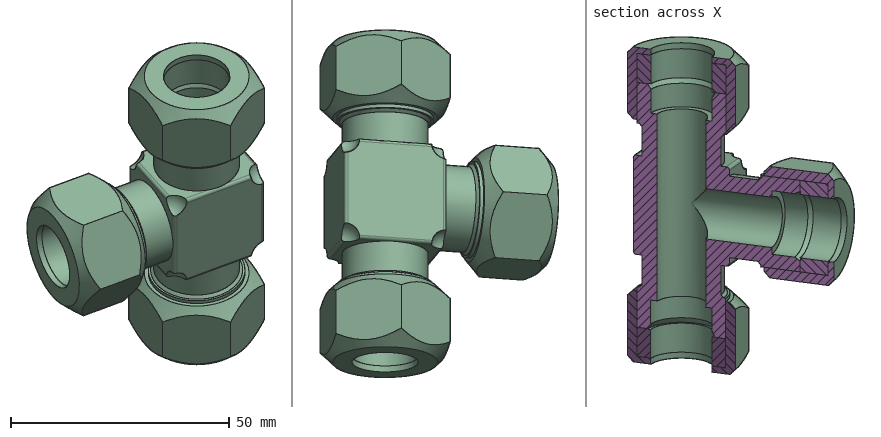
import cadquery as cq
import math

ARM_REACH = 38.0
ARM_TURNS = (0, 180, 90)

NUT_ACROSS_FLATS = 27.0
NUT_ACROSS_CORNERS = NUT_ACROSS_FLATS / math.cos(math.pi / 6)
NUT_LENGTH = 17.5
NUT_FACE_RADIUS = 12.0
NUT_CORNER_CHAMFER = NUT_ACROSS_CORNERS / 2 - NUT_FACE_RADIUS
NUT_WEB = 1.45
NUT_INNER_END = ARM_REACH - NUT_LENGTH
NUT_WEB_INNER_FACE = ARM_REACH - NUT_WEB

BLOCK_WIDTH = 20.75
BLOCK_SIDE = 24.0
BLOCK_EDGE_RADIUS = 0.75
CORNER_SCOOP_RADIUS = 3.5
SCOOP_SEAM_TURN = 45

NECK_RADIUS = 9.9
THREAD_RADIUS = 11.1
THREAD_EXPOSED = 0.8
RUNOUT_RADIUS = 10.6
THREAD_START = NUT_INNER_END - THREAD_EXPOSED
RUNOUT_START = THREAD_START - (RUNOUT_RADIUS - NECK_RADIUS)
RING_LENGTH = 7.0
ARM_END = NUT_WEB_INNER_FACE - RING_LENGTH

FLOW_RADIUS = 6.0
TUBE_RADIUS = 7.6
SOCKET_DEPTH = 7.0
SOCKET_FLOOR = ARM_END - SOCKET_DEPTH
MOUTH_RADIUS = 8.35
MOUTH_SLOPE_ANGLE = math.radians(30)
MOUTH_DEPTH = (MOUTH_RADIUS - TUBE_RADIUS) / math.tan(MOUTH_SLOPE_ANGLE)


def revolve_about_z(profile):
    """Turn a closed (radius, z) outline into a solid of revolution about Z, its seam towards -Y."""
    solid = cq.Workplane("XZ").polyline(profile).close().revolve(360, (0, 0), (0, 1))
    return solid.rotate((0, 0, 0), (0, 0, 1), -90)


def place_on_arm(shape, turn):
    """Swing a shape built along +Z onto one of the arms."""
    return shape.rotate((0, 0, 0), (1, 0, 0), turn)


def make_block():
    """Rounded block with a spherical scoop at each of its eight corners."""
    block = cq.Workplane("XY").box(BLOCK_WIDTH, BLOCK_SIDE, BLOCK_SIDE)
    scoop = cq.Workplane("XY").sphere(CORNER_SCOOP_RADIUS).rotate((0, 0, 0), (0, 0, 1), SCOOP_SEAM_TURN)
    corners = block.vertices().vals()
    block = block.edges().fillet(BLOCK_EDGE_RADIUS)
    for corner in corners:
        block = block.cut(scoop.translate(corner.toTuple()))
    return block


def make_arm():
    """Solid arm from the block centre: neck, run-out step and cone, threaded end."""
    return revolve_about_z([
        (0, 0),
        (NECK_RADIUS, 0),
        (NECK_RADIUS, RUNOUT_START),
        (RUNOUT_RADIUS, THREAD_START),
        (THREAD_RADIUS, THREAD_START),
        (THREAD_RADIUS, ARM_END),
        (0, ARM_END),
    ])


def make_passage():
    """Cutter for one arm's flow bore, tube socket and conical mouth."""
    return revolve_about_z([
        (0, 0),
        (FLOW_RADIUS, 0),
        (FLOW_RADIUS, SOCKET_FLOOR),
        (TUBE_RADIUS, SOCKET_FLOOR),
        (TUBE_RADIUS, ARM_END - MOUTH_DEPTH),
        (MOUTH_RADIUS, ARM_END),
        (0, ARM_END),
    ])


def make_tee():
    """Block with three arms, drilled through from every arm end."""
    tee = make_block()
    for turn in ARM_TURNS:
        tee = tee.union(place_on_arm(make_arm(), turn))
    for turn in ARM_TURNS:
        tee = tee.cut(place_on_arm(make_passage(), turn))
    return tee


def make_ring():
    """Clamping ring filling the nut's bore between its web and the end of the arm."""
    return revolve_about_z([
        (TUBE_RADIUS, ARM_END),
        (THREAD_RADIUS, ARM_END),
        (THREAD_RADIUS, NUT_WEB_INNER_FACE),
        (TUBE_RADIUS, NUT_WEB_INNER_FACE),
    ])


def make_nut():
    """Hexagonal union nut, corners on X, chamfered at both ends and bored for arm and ring."""
    corner_radius = NUT_ACROSS_CORNERS / 2
    hexagon = (
        cq.Workplane("XY", origin=(0, 0, NUT_INNER_END))
        .polygon(6, NUT_ACROSS_CORNERS)
        .extrude(NUT_LENGTH)
    )
    turned_envelope = revolve_about_z([
        (0, NUT_INNER_END),
        (NUT_FACE_RADIUS, NUT_INNER_END),
        (corner_radius, NUT_INNER_END + NUT_CORNER_CHAMFER),
        (corner_radius, ARM_REACH - NUT_CORNER_CHAMFER),
        (NUT_FACE_RADIUS, ARM_REACH),
        (0, ARM_REACH),
    ])
    stepped_bore = revolve_about_z([
        (0, NUT_INNER_END),
        (THREAD_RADIUS, NUT_INNER_END),
        (THREAD_RADIUS, NUT_WEB_INNER_FACE),
        (TUBE_RADIUS, NUT_WEB_INNER_FACE),
        (TUBE_RADIUS, ARM_REACH),
        (0, ARM_REACH),
    ])
    return hexagon.intersect(turned_envelope).cut(stepped_bore)


tee = make_tee()
rings = [place_on_arm(make_ring(), turn) for turn in ARM_TURNS]
nuts = [place_on_arm(make_nut(), turn) for turn in ARM_TURNS]

bodies = [tee, *rings, *nuts]
result = cq.Compound.makeCompound([body.solids().val() for body in bodies])